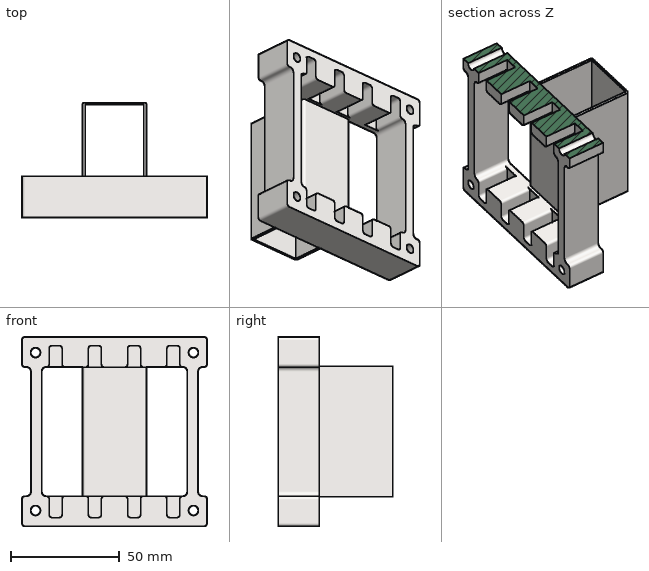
import cadquery as cq

frame_width = 85.0
frame_height = 87.0
frame_depth = 19.0
bar_height = 13.9
post_inset = 4.1
post_width = 5.05
corner_radius = 1.5
post_radius = 2.0

hole_spacing = 72.5
hole_diameter = 4.35

slot_count = 4
slot_pitch = 18.0
slot_width = 6.0
slot_roof = 4.0
slot_depth = 16.0
slot_radius = 1.6
mouth_radius = 1.3

total_depth = 52.7
tube_width = 29.4
tube_height = 60.0
side_wall = 1.3
back_wall = 1.0
front_wall = 1.4
tube_back_radius = 0.9
tube_front_radius = 1.3

opening_width = frame_width - 2 * (post_inset + post_width)
opening_height = frame_height - 2 * bar_height
slot_length = bar_height - slot_roof
first_slot_x = -(slot_count - 1) / 2 * slot_pitch


def block(width, depth, height, x=0, y=0, z=0):
    """Box centred on x and z, starting at y and growing toward +Y."""
    box = cq.Workplane("XY").box(width, depth, height, centered=(True, False, True))
    return box.translate((x, y, z))


def frame():
    """Two bars joined by two posts, with rounded corners and junctions."""
    window = block(opening_width, frame_depth, opening_height).edges("|Y").fillet(post_radius)
    body = block(frame_width, frame_depth, frame_height).cut(window)
    notch_x = (frame_width - post_inset) / 2
    for side, post_face in ((-1, ">X"), (1, "<X")):
        notch = block(post_inset, frame_depth, opening_height, x=side * notch_x)
        notch = notch.faces(post_face).edges("|Y").fillet(post_radius)
        body = body.cut(notch)
    for side_face in ("<X", ">X"):
        body = body.faces(side_face).edges("|Y").fillet(corner_radius)
    return body


def upper_slot():
    """Cutter for one slot of the upper bar, with a rounded roof and a flared mouth."""
    mouth_z = opening_height / 2
    channel = block(slot_width, slot_depth, slot_length, z=mouth_z + slot_length / 2)
    channel = channel.faces(">Z").edges("|Y").fillet(slot_radius)
    flare_width = slot_width + 2 * mouth_radius
    flare = block(flare_width, slot_depth, mouth_radius, z=mouth_z + mouth_radius / 2)
    lips = (
        cq.Workplane("XZ")
        .pushPoints([(side * flare_width / 2, mouth_z + mouth_radius) for side in (-1, 1)])
        .circle(mouth_radius)
        .extrude(-slot_depth)
    )
    return channel.union(flare.cut(lips))


def tube():
    """Solid tube body whose front wall reaches into the frame and overlaps the bars."""
    front_y = frame_depth - front_wall
    outer = block(tube_width, total_depth - front_y, tube_height, y=front_y)
    outer = outer.faces(">Y").edges("|Z").fillet(tube_back_radius)
    return outer.faces("<Y").edges("|Z").fillet(tube_front_radius)


def tube_bore():
    """Rectangular passage through the tube, starting at the back of the frame."""
    bore_depth = total_depth - back_wall - frame_depth
    return block(tube_width - 2 * side_wall, bore_depth, tube_height, y=frame_depth)


def mounting_holes():
    """Four through holes, one near each corner of the frame."""
    return (
        cq.Workplane("XZ")
        .rect(hole_spacing, hole_spacing, forConstruction=True)
        .vertices()
        .circle(hole_diameter / 2)
        .extrude(-frame_depth)
    )


result = frame()
for index in range(slot_count):
    slot = upper_slot().translate((first_slot_x + index * slot_pitch, 0, 0))
    result = result.cut(slot).cut(slot.mirror("XY"))
result = result.union(tube()).cut(tube_bore()).cut(mounting_holes())